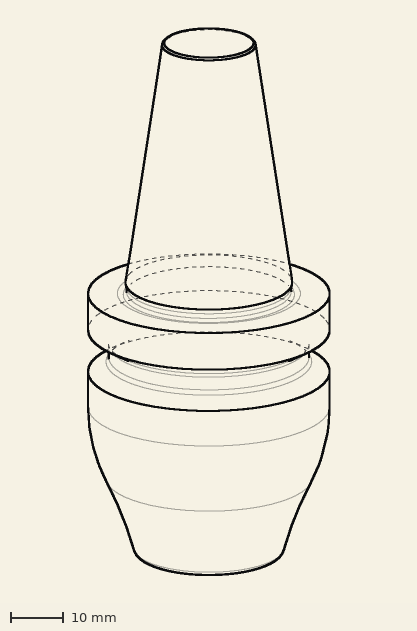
import cadquery as cq
import math

total_height = 102.4
body_diameter = 46.0
body_radius = body_diameter / 2

flange_top = 52.0
groove_upper_edge = 44.6
groove_lower_edge = 36.4
dome_top = 29.3
dome_bottom = 15.1
nose_round_top = 0.9

groove_radius = 19.0
groove_flank_angle = 60.0
groove_root_fillet = 1.0
flank_height = (body_radius - groove_radius) / math.tan(math.radians(groove_flank_angle))

gauge_radius = 15.9
gauge_height = 54.3
taper_per_side = 7 / 24 / 2
shank_top_chamfer = 0.4
shank_top_radius = gauge_radius - (total_height - shank_top_chamfer - gauge_height) * taper_per_side

neck_radius = 15.7
neck_top = 53.4
neck_bottom = 52.4
relief_corner_radius = 0.6
relief_outer_radius = 17.4
relief_floor_radius = neck_radius + relief_corner_radius
relief_floor_height = neck_bottom - relief_corner_radius

dome_bottom_radius = 19.7
nose_side_radius = 14.3
nose_face_radius = 13.3


def holder_body():
    """Half outline from the shank end down to the nose face, turned about Z."""
    outline = (
        cq.Workplane("XZ")
        .moveTo(0, total_height)
        .lineTo(shank_top_radius - shank_top_chamfer, total_height)
        .lineTo(shank_top_radius, total_height - shank_top_chamfer)
        .lineTo(gauge_radius, gauge_height)
        .lineTo(neck_radius, neck_top)
        .lineTo(neck_radius, neck_bottom)
        .tangentArcPoint((relief_floor_radius, relief_floor_height), relative=False)
        .lineTo(relief_outer_radius, flange_top)
        .lineTo(body_radius, flange_top)
        .lineTo(body_radius, groove_upper_edge)
        .lineTo(groove_radius, groove_upper_edge - flank_height)
        .lineTo(groove_radius, groove_lower_edge + flank_height)
        .lineTo(body_radius, groove_lower_edge)
        .lineTo(body_radius, dome_top)
        .tangentArcPoint((dome_bottom_radius, dome_bottom), relative=False)
        .tangentArcPoint((nose_side_radius, nose_round_top), relative=False)
        .tangentArcPoint((nose_face_radius, 0), relative=False)
        .lineTo(0, 0)
        .close()
    )
    return outline.revolve(360, (0, 0, 0), (0, 1, 0))


def round_groove_root(body):
    """Fillet the two circular edges at the bottom of the gripper groove."""
    margin = 0.1
    root_edges = cq.selectors.BoxSelector(
        (-body_radius, -body_radius, groove_lower_edge + margin),
        (body_radius, body_radius, groove_upper_edge - margin),
        boundingbox=True,
    )
    return body.edges(root_edges).edges("%CIRCLE").fillet(groove_root_fillet)


result = round_groove_root(holder_body())